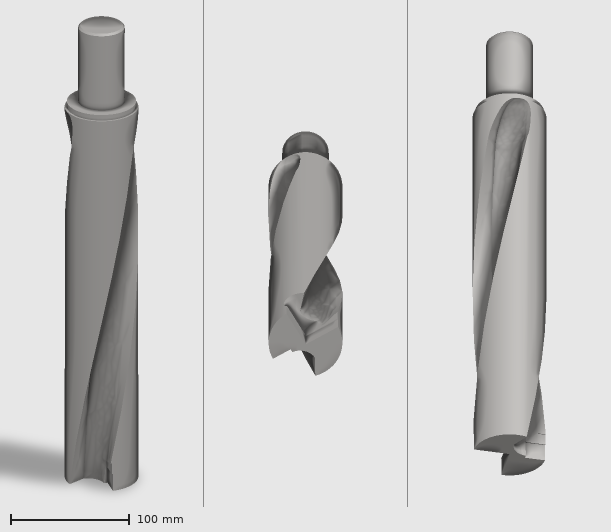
import cadquery as cq
import math

TOTAL_HEIGHT = 417.5

BODY_RADIUS = 31.1
BODY_HEIGHT = 342.5
COLLAR_RADIUS = 29.2
COLLAR_HEIGHT = 5.0

SHANK_RADIUS = 19.5
SHANK_CHAMFER = 1.5
SHANK_FLAT_DEPTH = 1.3
SHANK_FLAT_BOTTOM = 355.0
SHANK_FLAT_TOP = 410.0

FLUTE_COUNT = 2
FLUTE_TWIST_PER_UNIT = 0.3832
FLUTE_TOP = 304.8
FLUTE_CENTER_AT_TOP = 253.6
FLUTE_MOUTH_HALF_ANGLE = 32.0
FLUTE_FLOOR_RADIUS = 7.5
FLUTE_HEEL = (10.5, -11.3)
FLUTE_FACE = (16.5, 12.0)

RUNOUT_LENGTH = 37.0
RUNOUT_TWIST_PER_UNIT = 0.5269
RUNOUT_TIP_SCALE = 0.02
RUNOUT_STEPS = 4

OUTER_POCKET_FLOOR = 13.8
OUTER_SEAT_HEIGHT = 15.5
OUTER_RELIEF_CENTER = (22.5, 17.0)
OUTER_RELIEF_RADIUS = 8.5
INNER_POCKET_FLOOR = -0.5
INNER_SEAT_HEIGHT = 16.3
INNER_RELIEF_CENTER = (7.5, 24.2)
INNER_RELIEF_RADIUS = 11.0
RELIEF_WALL = 0.5
SEAT_WALL = 1.3

CUT_MARGIN = 8.5


def make_blank():
    """Body, collar and shank turned in one piece."""
    return (
        cq.Workplane("XZ")
        .lineTo(BODY_RADIUS, 0)
        .lineTo(BODY_RADIUS, BODY_HEIGHT)
        .lineTo(COLLAR_RADIUS, BODY_HEIGHT)
        .lineTo(COLLAR_RADIUS, BODY_HEIGHT + COLLAR_HEIGHT)
        .lineTo(SHANK_RADIUS, BODY_HEIGHT + COLLAR_HEIGHT)
        .lineTo(SHANK_RADIUS, TOTAL_HEIGHT - SHANK_CHAMFER)
        .lineTo(SHANK_RADIUS - SHANK_CHAMFER, TOTAL_HEIGHT)
        .lineTo(0, TOTAL_HEIGHT)
        .close()
        .revolve(360, (0, 0, 0), (0, 1, 0))
    )


def make_shank_flat():
    """Block that cuts the clamping flat on the +Y side of the shank."""
    return (
        cq.Workplane("XY", origin=(0, SHANK_RADIUS, SHANK_FLAT_BOTTOM))
        .rect(2 * SHANK_RADIUS, 2 * SHANK_FLAT_DEPTH)
        .extrude(SHANK_FLAT_TOP - SHANK_FLAT_BOTTOM)
    )


def draw_flute_section(plane, retraction=0.0, scale=1.0):
    """Flute cross-section opening along local +X: two walls and a round floor.

    Retraction moves the section outward, which makes the flute shallower.
    Scale shrinks the section toward the middle of its floor.
    """
    half_angle = math.radians(FLUTE_MOUTH_HALF_ANGLE)
    mouth_radial = BODY_RADIUS * math.cos(half_angle)
    mouth_side = BODY_RADIUS * math.sin(half_angle)
    floor = FLUTE_FLOOR_RADIUS + retraction
    outer = BODY_RADIUS + CUT_MARGIN

    def place(foot):
        return floor + (foot[0] - FLUTE_FLOOR_RADIUS) * scale, foot[1] * scale

    def wall_end(foot, side):
        """Carry a wall straight on from its foot to the outer line."""
        slope = (side - foot[1]) / (mouth_radial - foot[0])
        radial, start = place(foot)
        return outer, start + slope * (outer - radial)

    return (
        plane
        .moveTo(*wall_end(FLUTE_HEEL, -mouth_side))
        .lineTo(*place(FLUTE_HEEL))
        .threePointArc((floor, 0), place(FLUTE_FACE))
        .lineTo(*wall_end(FLUTE_FACE, mouth_side))
        .close()
    )


def make_flute_helix():
    """Constant twisted part of the flute; it points along +X at FLUTE_TOP."""
    twist = FLUTE_TWIST_PER_UNIT * FLUTE_TOP
    return (
        draw_flute_section(cq.Workplane("XY"))
        .twistExtrude(FLUTE_TOP, twist)
        .rotate((0, 0, 0), (0, 0, 1), -twist)
    )


def make_flute_runout():
    """Curved exit above FLUTE_TOP: the section keeps twisting while it retracts."""
    depth = BODY_RADIUS - FLUTE_FLOOR_RADIUS
    sections = []
    for step in range(RUNOUT_STEPS + 1):
        fraction = step / RUNOUT_STEPS
        rise = RUNOUT_LENGTH * math.sin(fraction * math.pi / 2)
        lift = 1 - math.cos(fraction * math.pi / 2)
        scale = RUNOUT_TIP_SCALE + (1 - RUNOUT_TIP_SCALE) * math.sqrt(1 - lift)
        plane = cq.Workplane("XY", origin=(0, 0, FLUTE_TOP + rise)).transformed(
            rotate=(0, 0, RUNOUT_TWIST_PER_UNIT * rise)
        )
        sections.append(draw_flute_section(plane, depth * lift, scale).wire().val())
    return cq.Workplane(cq.Solid.makeLoft(sections))


def make_pocket(floor, seat_height, relief_center, relief_radius):
    """Insert pocket on the +X, -Y side: flat seat below, round relief above it.

    Floor is the X of the end wall; relief_center is the (X, Z) of the relief.
    """
    reach = BODY_RADIUS + CUT_MARGIN
    center_x, center_z = relief_center
    seat = (
        cq.Workplane("XY")
        .box(reach - floor, reach, seat_height, centered=False)
        .translate((floor, SEAT_WALL - reach, 0))
    )
    relief = (
        cq.Workplane("XZ", origin=(center_x, RELIEF_WALL, center_z))
        .circle(relief_radius)
        .extrude(reach)
    )
    above_seat = (
        cq.Workplane("XY")
        .box(reach - center_x, reach, center_z + relief_radius - seat_height, centered=False)
        .translate((center_x, RELIEF_WALL - reach, seat_height))
    )
    return seat.union(relief).union(above_seat)


result = make_blank().cut(make_shank_flat())
for flute_cutter in (make_flute_helix(), make_flute_runout()):
    for index in range(FLUTE_COUNT):
        direction = FLUTE_CENTER_AT_TOP + index * 360 / FLUTE_COUNT
        result = result.cut(flute_cutter.rotate((0, 0, 0), (0, 0, 1), direction))

outer_pocket = make_pocket(
    OUTER_POCKET_FLOOR, OUTER_SEAT_HEIGHT, OUTER_RELIEF_CENTER, OUTER_RELIEF_RADIUS
)
inner_pocket = make_pocket(
    INNER_POCKET_FLOOR, INNER_SEAT_HEIGHT, INNER_RELIEF_CENTER, INNER_RELIEF_RADIUS
)
result = result.cut(outer_pocket).cut(inner_pocket.rotate((0, 0, 0), (0, 0, 1), 180))